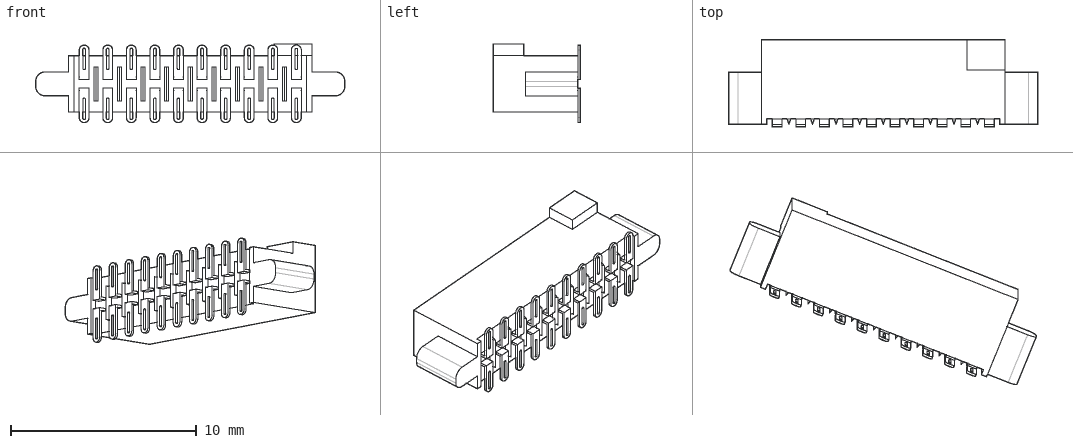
import cadquery as cq

housing_length = 13.11
housing_depth = 4.56
housing_height = 3.05

recess_depth = 0.3
end_wall = 0.3

overall_length = 16.64
ear_depth = 2.81
ear_height = 1.3
ear_corner_radius = 0.52

key_length = 2.05
key_depth = 1.65
key_height = 0.63

contact_count = 10
contact_row_length = 11.42
contact_tip_span = 4.18
contact_width = 0.53
contact_thickness = 0.13
contact_protrusion = 0.13
contact_inner_z = 0.23
slot_width = 0.13
slot_inner_z = 0.77
slot_outer_z = 1.91

rib_width = 0.22
rib_height = 1.83

front_y = 0.0
recess_y = front_y + recess_depth
contact_front_y = front_y - contact_protrusion
contact_back_y = contact_front_y + contact_thickness
contact_outer_z = contact_tip_span / 2
contact_pitch = contact_row_length / (contact_count - 1)


def block(x_min, x_max, y_min, y_max, z_min, z_max):
    """Box given by its limits along each axis."""
    box = cq.Workplane("XY").box(x_max - x_min, y_max - y_min, z_max - z_min, centered=False)
    return box.translate((x_min, y_min, z_min))


def make_ear_bar():
    """Rounded bar through the housing whose ends form the two mounting ears."""
    half_length = overall_length / 2
    half_height = ear_height / 2
    bar = block(-half_length, half_length, front_y, front_y + ear_depth, -half_height, half_height)
    return bar.edges("|Y").fillet(ear_corner_radius)


def make_housing():
    """Housing block with its key and ears, recessed between the end walls."""
    half_length = housing_length / 2
    half_height = housing_height / 2
    back_y = front_y + housing_depth
    recess_end = half_length - end_wall
    key_top = half_height + key_height
    body = block(-half_length, half_length, front_y, back_y, -half_height, half_height)
    key = block(half_length - key_length, half_length, back_y - key_depth, back_y, half_height, key_top)
    recess = block(-recess_end, recess_end, front_y, recess_y, -half_height, half_height)
    return body.union(key).union(make_ear_bar()).cut(recess)


def make_contact():
    """Upper contact: a slotted tail with a rounded tip, and a foot reaching into the housing."""
    half_width = contact_width / 2
    tip_z = contact_outer_z - half_width
    tail = (
        cq.Workplane("XZ", origin=(0, contact_back_y, 0))
        .moveTo(-half_width, contact_inner_z)
        .lineTo(-half_width, tip_z)
        .threePointArc((0, contact_outer_z), (half_width, tip_z))
        .lineTo(half_width, contact_inner_z)
        .close()
        .extrude(contact_thickness)
    )
    slot = (
        cq.Workplane("XZ", origin=(0, contact_back_y, 0))
        .center(0, (slot_inner_z + slot_outer_z) / 2)
        .slot2D(slot_outer_z - slot_inner_z, slot_width, 90)
        .extrude(contact_thickness)
    )
    foot = block(
        -half_width,
        half_width,
        contact_front_y,
        recess_y,
        contact_inner_z,
        contact_inner_z + contact_thickness,
    )
    return tail.cut(slot).union(foot)


def make_rib():
    """Wedge with its base on the recess floor and its edge level with the end walls."""
    return (
        cq.Workplane("XY", origin=(0, 0, -rib_height / 2))
        .polyline([(-rib_width / 2, recess_y), (0, front_y), (rib_width / 2, recess_y)])
        .close()
        .extrude(rib_height)
    )


result = make_housing()

upper_contact = make_contact()
lower_contact = upper_contact.mirror("XY")
first_contact_x = -contact_row_length / 2
for index in range(contact_count):
    contact_x = first_contact_x + index * contact_pitch
    result = result.union(upper_contact.translate((contact_x, 0, 0)))
    result = result.union(lower_contact.translate((contact_x, 0, 0)))

rib = make_rib()
for index in range(contact_count - 1):
    rib_x = first_contact_x + (index + 0.5) * contact_pitch
    result = result.union(rib.translate((rib_x, 0, 0)))